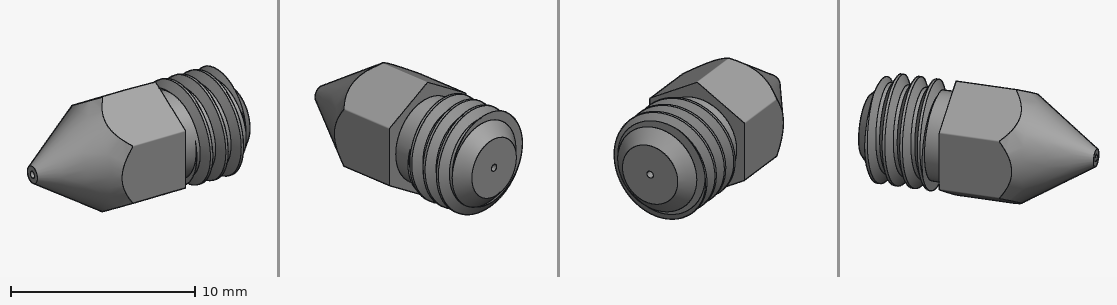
import cadquery as cq
import math

total_length = 13.0
hex_across_flats = 6.0
hex_corner_radius = 0.1
hex_top = 8.0
tip_diameter = 1.0
bore_diameter = 0.4
cone_height = 3.86

shank_diameter = 5.0
rear_chamfer = 0.75

thread_diameter = 6.08
thread_pitch = 1.0
thread_crest_width = 0.15
thread_half_angle = 30.0
thread_start = hex_top + thread_pitch
thread_end = total_length - rear_chamfer
thread_crest_offset = 0.65
root_overlap = 0.05
ridge_turns = 5
lead_in_turns = 2
rod_overrun = 1.3

tip_radius = tip_diameter / 2
shank_radius = shank_diameter / 2
thread_radius = thread_diameter / 2


def make_hex_nose():
    """Hexagon whose front end is turned down to a cone."""
    across_corners = hex_across_flats / math.cos(math.radians(30))
    hexagon = (
        cq.Workplane("XY")
        .polygon(6, across_corners)
        .extrude(hex_top)
        .rotate((0, 0, 0), (0, 0, 1), 30)
        .edges("|Z")
        .fillet(hex_corner_radius)
    )
    cone_slope = (hex_across_flats / 2 - tip_radius) / cone_height
    outer_radius = tip_radius + cone_slope * hex_top
    cone = (
        cq.Workplane("XZ")
        .polyline([(0, 0), (tip_radius, 0), (outer_radius, hex_top), (0, hex_top)])
        .close()
        .revolve(360, (0, 0), (0, 1))
    )
    return hexagon.intersect(cone)


def make_ridge():
    """Right-handed helical ridge, running past both ends of the threaded length."""
    helix_start = thread_start + thread_crest_offset - lead_in_turns * thread_pitch
    helix_height = ridge_turns * thread_pitch
    root_radius = shank_radius - root_overlap
    crest_half = thread_crest_width / 2
    root_half = crest_half + (thread_radius - root_radius) * math.tan(math.radians(thread_half_angle))
    path = cq.Wire.makeHelix(thread_pitch, helix_height, shank_radius, center=cq.Vector(0, 0, helix_start))
    return (
        cq.Workplane("XZ")
        .polyline([
            (root_radius, helix_start - root_half),
            (thread_radius, helix_start - crest_half),
            (thread_radius, helix_start + crest_half),
            (root_radius, helix_start + root_half),
        ])
        .close()
        .sweep(cq.Workplane(path), isFrenet=True)
    )


def make_threaded_shank():
    """Shank with the ridge cut square at both ends and a chamfered rear end."""
    rod_height = total_length + rod_overrun - hex_top
    rod = cq.Workplane("XY", origin=(0, 0, hex_top)).circle(shank_radius).extrude(rod_height)
    envelope = (
        cq.Workplane("XZ")
        .polyline([
            (0, hex_top),
            (shank_radius, hex_top),
            (shank_radius, thread_start),
            (thread_diameter, thread_start),
            (thread_diameter, thread_end),
            (shank_radius, thread_end),
            (shank_radius - rear_chamfer, total_length),
            (0, total_length),
        ])
        .close()
        .revolve(360, (0, 0), (0, 1))
    )
    return rod.union(make_ridge()).intersect(envelope)


bore = cq.Workplane("XY").circle(bore_diameter / 2).extrude(total_length)
nozzle = make_hex_nose().union(make_threaded_shank()).cut(bore)

result = nozzle.rotate((0, 0, 0), (1, 0, 0), -90)